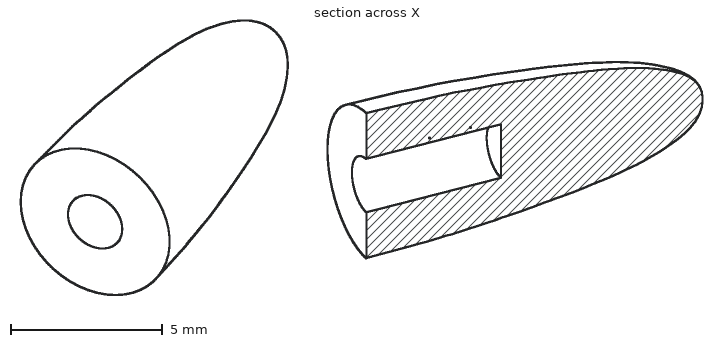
import cadquery as cq

length = 12.53
base_radius = 2.75
bore_diameter = 2.0
bore_depth = 5.01

nose_stations = [
    (2.67, 3.38),
    (2.43, 6.26),
    (2.02, 9.27),
    (1.39, 11.35),
]


def nose_body():
    """Bullet-shaped solid of revolution about the Y axis, base at Y = 0."""
    curve_points = [(-radius, y) for radius, y in nose_stations]
    return (
        cq.Workplane("XY")
        .lineTo(-base_radius, 0)
        .spline(
            curve_points + [(0, length)],
            tangents=[(0, 1), (1, 0)],
            includeCurrent=True,
        )
        .close()
        .revolve(360, (0, 0, 0), (0, 1, 0))
    )


def bore():
    """Blind round hole running from the flat base along +Y."""
    return cq.Workplane("XZ").circle(bore_diameter / 2).extrude(-bore_depth)


result = nose_body().cut(bore())